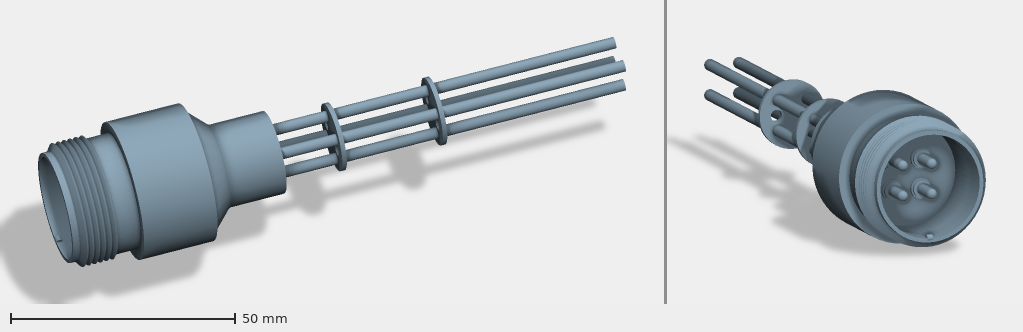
import cadquery as cq


total_length = 132.2
wire_end_y = 132.0
key_tip_y = wire_end_y - total_length

chamfer_front_y = 1.6
first_crest_y = 2.8
last_crest_y = 9.6
flange_front_y = 15.6
flange_rear_y = 32.8
cone_rear_y = 38.0
shell_rear_y = 51.0

rim_radius = 12.7
bore_radius = 11.8
crest_radius = 14.3
neck_radius = 13.3
flange_radius = 15.9
tail_radius = 9.5
cone_base_radius = tail_radius + (cone_rear_y - flange_rear_y)
cone_blend_radius = 1.0
bore_floor_y = flange_front_y

ridge_count = 6
ridge_pitch = (last_crest_y - first_crest_y) / (ridge_count - 1)

pattern_offset = 3.5
pin_radius = 1.2
pin_tip_y = 7.1
collar_radius = 2.4
collar_step_radius = 2.0
collar_length = 1.3
wire_radius = 1.3
wire_embed = 1.3

disc_radius = 7.8
disc_thickness = 1.0
disc_centers_y = (65.1, 88.7)
spare_hole_radius = 1.3
spare_hole_offset = 3.8

key_radius = 0.8
key_width = 1.3


def cylinder(radius, y_start, y_end, x=0.0, z=0.0):
    """Solid cylinder along Y between two stations."""
    axis_plane = cq.Plane(origin=(x, y_start, z), xDir=(1, 0, 0), normal=(0, 1, 0))
    return cq.Workplane(axis_plane).circle(radius).extrude(y_end - y_start)


def make_shell():
    """Turned shell: rim, ridges, neck, flange, cone and tail, with a blind front bore."""
    profile = cq.Workplane("XY").lineTo(rim_radius, 0)
    profile = profile.lineTo(rim_radius, chamfer_front_y)
    for ridge in range(ridge_count):
        crest_y = first_crest_y + ridge * ridge_pitch
        profile = profile.lineTo(crest_radius, crest_y)
        profile = profile.lineTo(neck_radius, crest_y + ridge_pitch / 2)
    profile = (
        profile.lineTo(neck_radius, flange_front_y)
        .lineTo(flange_radius, flange_front_y)
        .lineTo(flange_radius, flange_rear_y)
        .lineTo(cone_base_radius, flange_rear_y)
        .lineTo(tail_radius, cone_rear_y)
        .lineTo(tail_radius, shell_rear_y)
        .lineTo(0, shell_rear_y)
        .close()
    )
    shell = profile.revolve(360, (0, 0, 0), (0, 1, 0))

    shell = shell.edges("%CIRCLE").edges(">>Y[-2]").fillet(cone_blend_radius)
    return shell.cut(cylinder(bore_radius, 0, bore_floor_y))


def make_pin(x, z):
    """Round-tipped contact pin standing on a stepped collar."""
    dome_y = pin_tip_y + pin_radius
    dome = cq.Workplane("XY").sphere(pin_radius).translate((x, dome_y, z))
    pin = cylinder(pin_radius, dome_y, bore_floor_y, x, z).union(dome)
    collar = cylinder(collar_radius, bore_floor_y - collar_length / 2, bore_floor_y, x, z)
    collar_step = cylinder(collar_step_radius, bore_floor_y - collar_length, bore_floor_y, x, z)
    return pin.union(collar).union(collar_step)


def make_wire(x, z):
    """Straight lead wire, rooted a little way inside the tail."""
    return cylinder(wire_radius, shell_rear_y - wire_embed, wire_end_y, x, z)


def make_disc(center_y):
    """Spacer disc with a spare hole on each side, between the wires."""
    y_start = center_y - disc_thickness / 2
    y_end = center_y + disc_thickness / 2
    disc = cylinder(disc_radius, y_start, y_end)
    for x in (-spare_hole_offset, spare_hole_offset):
        disc = disc.cut(cylinder(spare_hole_radius, y_start, y_end, x))
    return disc


def make_key():
    """Keying roller centred on the bore wall at the bottom of the rim."""
    key_start = (-key_width / 2, key_tip_y + key_radius, -bore_radius)
    key_plane = cq.Plane(origin=key_start, xDir=(0, 1, 0), normal=(1, 0, 0))
    return cq.Workplane(key_plane).circle(key_radius).extrude(key_width)


result = make_shell().union(make_key())

for x in (-pattern_offset, pattern_offset):
    for z in (-pattern_offset, pattern_offset):
        result = result.union(make_pin(x, z))
        result = result.union(make_wire(x, z))

for center_y in disc_centers_y:
    result = result.union(make_disc(center_y))